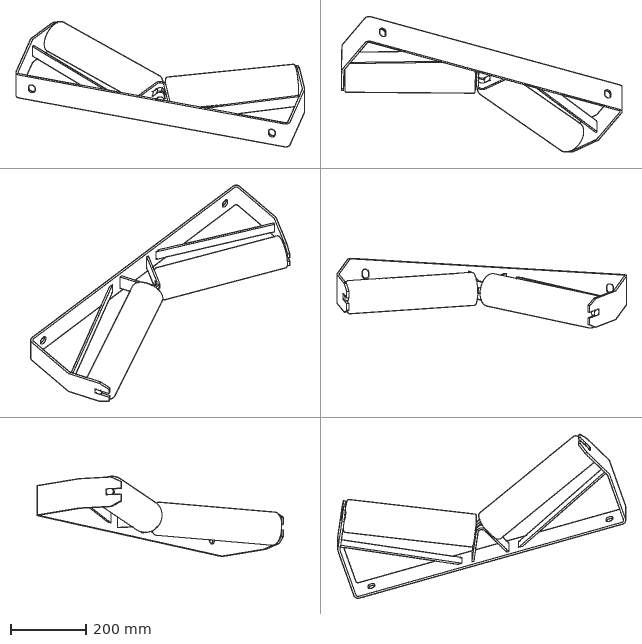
import cadquery as cq
import math

frame_length = 760.0
frame_width = 80.0
frame_thickness = 6.0
bend_radius = 6.0
post_height = 154.0
arm_length = 116.0
tip_taper_length = 27.0
tip_taper_depth = 14.0
tilt = math.radians(25)

mounting_slot_x = 333.0
mounting_slot_width = 18.0
mounting_slot_length = 26.0

peak_width = 50.0
peak_thickness = 5.0
peak_half_width = 52.0
peak_outer_radius = 15.0

brace_thickness = 5.0
brace_width = 33.5
brace_foot_x = 79.0
brace_top_y = 156.5

roller_diameter = 89.0
roller_length = 347.0
roller_fillet = 4.5
roller_centre_x = 178.0
roller_centre_y = 154.0
shaft_diameter = 20.0
shaft_flat_width = 16.0

half_length = frame_length / 2
arm_tip_x = half_length - arm_length * math.sin(tilt)
arm_tip_y = post_height + arm_length * math.cos(tilt)
inner_post_x = half_length - frame_thickness
inner_bend_y = post_height - frame_thickness * math.tan(tilt / 2)
outer_shaft_reach = (
    (half_length - roller_centre_x) * math.cos(tilt) + (post_height - roller_centre_y) * math.sin(tilt)
)
peak_foot_y = frame_thickness
inner_shaft_reach = (
    (roller_centre_x - peak_half_width) * math.cos(tilt)
    + (roller_centre_y - peak_foot_y) * math.sin(tilt)
    + peak_thickness
)
shaft_radius = shaft_diameter / 2


def extruded_strip(points, width):
    """Closed outline in XY, extruded equally to both sides of the XY plane."""
    return cq.Workplane("XY").polyline(points).close().extrude(width / 2, both=True)


def place_on_axis(body):
    """Turn a body built along X about the origin onto the axis of the right roller."""
    sloped = body.rotate((0, 0, 0), (0, 0, 1), math.degrees(tilt))
    return sloped.translate((roller_centre_x, roller_centre_y, 0))


def mirrored_pair(body):
    return [body, body.mirror("YZ")]


def shaft_slot(start, end):
    """Cutter for a square-ended slot, between two distances along the roller axis from its centre."""
    centring = (False, False, True)
    slot = cq.Workplane("XY").box(end - start, arm_length, shaft_flat_width, centered=centring)
    return place_on_axis(slot.translate((start, -shaft_radius, 0)))


def make_frame():
    outer = [(half_length, 0), (half_length, post_height), (arm_tip_x, arm_tip_y)]
    inner = [
        (arm_tip_x - frame_thickness * math.cos(tilt), arm_tip_y - frame_thickness * math.sin(tilt)),
        (inner_post_x, inner_bend_y),
        (inner_post_x, frame_thickness),
    ]
    right_side = outer + inner
    left_side = [(-x, y) for x, y in reversed(right_side)]
    frame = extruded_strip(right_side + left_side, frame_width)

    for bends, radius in ((inner[1:], bend_radius), (outer[:2], bend_radius + frame_thickness)):
        for x, y in bends:
            for side in (1, -1):
                frame = frame.edges(cq.selectors.NearestToPointSelector((side * x, y, 0))).fillet(radius)

    half_width = frame_width / 2
    for level in (1, -1):
        corner = (
            cq.Workplane("YZ")
            .polyline([
                (arm_length, level * half_width),
                (arm_length - tip_taper_length, level * half_width),
                (arm_length, level * (half_width - tip_taper_depth)),
            ])
            .close()
            .extrude(-frame_thickness)
            .rotate((0, 0, 0), (0, 0, 1), math.degrees(tilt))
            .translate((half_length, post_height, 0))
        )
        for cutter in mirrored_pair(corner):
            frame = frame.cut(cutter)
    for cutter in mirrored_pair(shaft_slot(outer_shaft_reach - frame_thickness, outer_shaft_reach)):
        frame = frame.cut(cutter)

    slots = (
        cq.Workplane("XZ")
        .pushPoints([(mounting_slot_x, 0), (-mounting_slot_x, 0)])
        .slot2D(mounting_slot_length, mounting_slot_width, 90)
        .extrude(-frame_thickness)
    )
    return frame.cut(slots)


def make_peak():
    apex_y = peak_foot_y + peak_half_width / math.tan(tilt)
    foot_thickness = peak_thickness / math.cos(tilt)
    inner_apex_y = apex_y - peak_thickness / math.sin(tilt)
    peak = extruded_strip([
        (peak_half_width, peak_foot_y),
        (0, apex_y),
        (-peak_half_width, peak_foot_y),
        (-peak_half_width + foot_thickness, peak_foot_y),
        (0, inner_apex_y),
        (peak_half_width - foot_thickness, peak_foot_y),
    ], peak_width)
    peak = peak.edges(cq.selectors.NearestToPointSelector((0, apex_y, 0))).fillet(peak_outer_radius)
    inner_apex = cq.selectors.NearestToPointSelector((0, inner_apex_y, 0))
    peak = peak.edges(inner_apex).fillet(peak_outer_radius - peak_thickness)
    reach_to_middle = roller_centre_x / math.cos(tilt)
    for cutter in mirrored_pair(shaft_slot(-reach_to_middle, peak_thickness - inner_shaft_reach)):
        peak = peak.cut(cutter)
    return peak


def make_brace(frame):
    """Right brace, trimmed to fit against the inside of the post and its bend."""
    slope = math.atan2(brace_top_y - frame_thickness, inner_post_x - brace_foot_x)
    brace = extruded_strip([
        (inner_post_x, brace_top_y),
        (brace_foot_x, frame_thickness),
        (brace_foot_x + brace_thickness / math.sin(slope), frame_thickness),
        (inner_post_x, brace_top_y - brace_thickness / math.cos(slope)),
    ], brace_width)
    return brace.cut(frame)


def make_roller():
    """Right roller with the flattened shaft ends that rest in the slots."""
    barrel = (
        cq.Workplane("YZ")
        .circle(roller_diameter / 2)
        .extrude(roller_length)
        .edges("%CIRCLE")
        .fillet(roller_fillet)
        .translate((-roller_length / 2, 0, 0))
    )
    shaft_length = inner_shaft_reach + outer_shaft_reach
    flats = cq.Workplane("YZ").rect(shaft_diameter, shaft_flat_width).extrude(shaft_length)
    shaft = cq.Workplane("YZ").circle(shaft_radius).extrude(shaft_length).intersect(flats)
    return place_on_axis(barrel.union(shaft.translate((-inner_shaft_reach, 0, 0))))


frame = make_frame()
peak = make_peak()
braces = mirrored_pair(make_brace(frame))
rollers = mirrored_pair(make_roller())

result = cq.Compound.makeCompound(
    [frame.val(), peak.val()] + [brace.val() for brace in braces] + [roller.val() for roller in rollers]
)